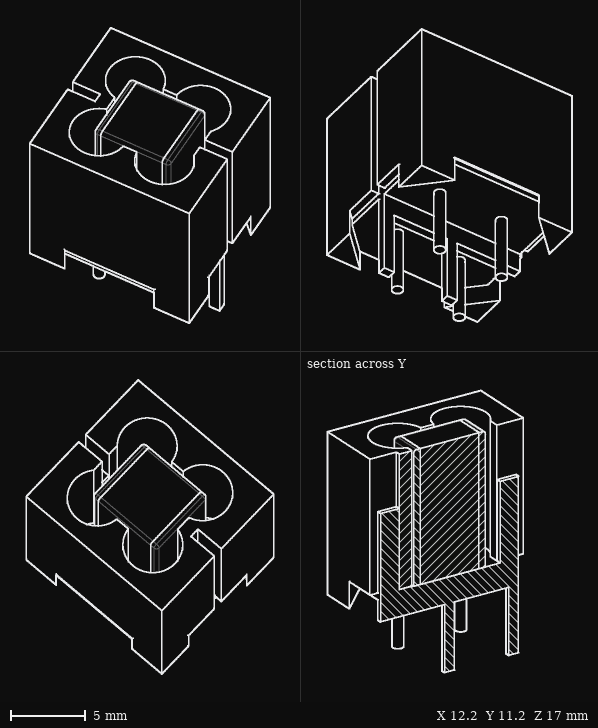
import cadquery as cq

HOUSING_LENGTH = 12.2
HOUSING_WIDTH = 11.2
HOUSING_HEIGHT = 12.0

RECESS_HEIGHT = 2.0
POST_SIDE = 2.7

LOBE_RADIUS = 2.0
LOBE_OFFSET = 2.5
POCKET_X_MIN = -3.0
POCKET_X_MAX = 4.0
POCKET_WIDTH = 5.5

SLOT_WIDTH = 0.7
SLOT_INNER_X = 4.0

PLATE_SIDE = 11.0
PLATE_THICKNESS = 0.5
PLATE_BOTTOM = RECESS_HEIGHT - PLATE_THICKNESS
BLADE_THICKNESS = 0.65
UPRIGHT_TOP = 8.0
LEG_WIDTH = 0.8
LEG_LENGTH = 5.0
LEG_CENTRES = (0.0, (PLATE_SIDE - LEG_WIDTH) / 2)

PIN_DIAMETER = 0.8
PIN_LENGTH = 5.0

BUTTON_LENGTH = 5.75
BUTTON_WIDTH = 5.1
CORE_LENGTH = 4.7
BUTTON_ROUNDING = 0.25


def block(x_min, x_max, width, z_min, z_max):
    """Box between two X and two Z positions, centred on Y = 0."""
    box = cq.Workplane("XY").box(x_max - x_min, width, z_max - z_min, centered=(False, True, False))
    return box.translate((x_min, 0, z_min))


def centred_block(length, width, z_min, z_max):
    """Box between two Z positions, centred on the Z axis."""
    return block(-length / 2, length / 2, width, z_min, z_max)


def four_corners(offset):
    """Corner points of a square centred on the Z axis."""
    return [(x, y) for x in (-offset, offset) for y in (-offset, offset)]


def end_spans(inner_x, outer_x):
    """X spans of two matching pieces, one at each X end."""
    return ((-outer_x, -inner_x), (inner_x, outer_x))


def make_pocket():
    """Cutter for the clover pocket: four round lobes joined by a rectangle."""
    lobes = (
        cq.Workplane("XY")
        .pushPoints(four_corners(LOBE_OFFSET))
        .circle(LOBE_RADIUS)
        .extrude(HOUSING_HEIGHT)
    )
    return lobes.union(block(POCKET_X_MIN, POCKET_X_MAX, POCKET_WIDTH, 0, HOUSING_HEIGHT))


def eight_sided_block(length, width, corner_cut, z_min, z_max):
    """Box centred on the Z axis with its four upright corners cut off at 45 degrees."""
    return centred_block(length, width, z_min, z_max).edges("|Z").chamfer(corner_cut)


def make_housing():
    housing = centred_block(HOUSING_LENGTH, HOUSING_WIDTH, 0, HOUSING_HEIGHT)
    housing = housing.cut(make_pocket())
    for x_min, x_max in end_spans(SLOT_INNER_X, HOUSING_LENGTH / 2):
        housing = housing.cut(block(x_min, x_max, SLOT_WIDTH, 0, HOUSING_HEIGHT))
    return housing.cut(eight_sided_block(HOUSING_LENGTH, HOUSING_WIDTH, POST_SIDE, 0, RECESS_HEIGHT))


def make_frame():
    corner_cut = POST_SIDE - (HOUSING_LENGTH + HOUSING_WIDTH) / 2 + PLATE_SIDE
    plate = eight_sided_block(PLATE_SIDE, PLATE_SIDE, corner_cut, PLATE_BOTTOM, RECESS_HEIGHT)
    frame = plate.union(centred_block(PLATE_SIDE, BLADE_THICKNESS, 0, RECESS_HEIGHT))
    for x_min, x_max in end_spans(SLOT_INNER_X, PLATE_SIDE / 2):
        frame = frame.union(block(x_min, x_max, BLADE_THICKNESS, 0, UPRIGHT_TOP))
    for x in LEG_CENTRES:
        leg = centred_block(LEG_WIDTH, BLADE_THICKNESS, -LEG_LENGTH, 0)
        frame = frame.union(leg.translate((x, 0, 0)))
    return frame.clean()


def make_pin(x, y):
    pin = cq.Workplane("XY", origin=(x, y, PLATE_BOTTOM)).circle(PIN_DIAMETER / 2)
    return pin.extrude(-PIN_LENGTH)


def make_button_core():
    core = centred_block(CORE_LENGTH, BUTTON_WIDTH, RECESS_HEIGHT, HOUSING_HEIGHT)
    return core.faces(">Z").edges("|X").fillet(BUTTON_ROUNDING)


def make_side_plate(side):
    """Side plate of the button on the -X (side = -1) or +X (side = 1) end of the core."""
    thickness = (BUTTON_LENGTH - CORE_LENGTH) / 2
    plate = centred_block(thickness, BUTTON_WIDTH, RECESS_HEIGHT, HOUSING_HEIGHT)
    plate = plate.translate((side * (CORE_LENGTH + thickness) / 2, 0, 0))
    outer_face = ">X" if side > 0 else "<X"
    rounded = plate.faces(outer_face).edges("|Z or >Z").add(plate.faces(">Z").edges("|X"))
    return rounded.fillet(BUTTON_ROUNDING)


housing = make_housing()
frame = make_frame()
pins = [make_pin(x, y) for x, y in four_corners(LOBE_OFFSET)]
button_core = make_button_core()
side_plates = [make_side_plate(side) for side in (-1, 1)]

result = cq.Compound.makeCompound([
    housing.val(),
    frame.val(),
    *[pin.val() for pin in pins],
    button_core.val(),
    *[plate.val() for plate in side_plates],
])